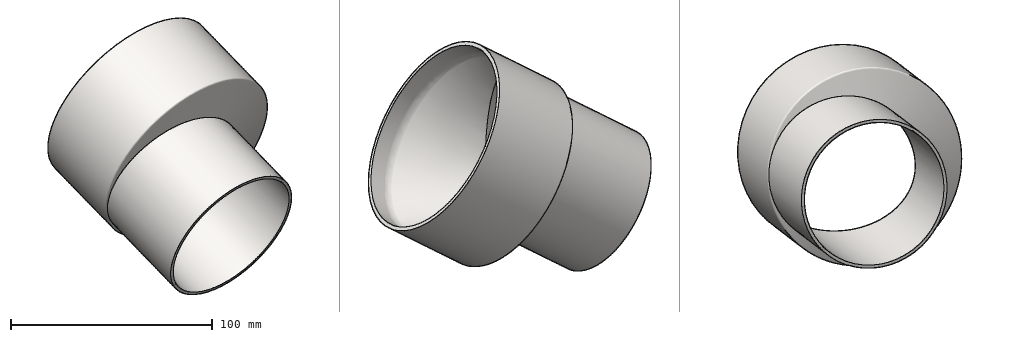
import cadquery as cq
import math

total_length = 98.5

large_diameter = 101.6
large_bore = 97.4
shoulder_start = 47.4
shoulder_angle = 75.0
shoulder_blend = 1.0

small_diameter = 76.2
small_bore = 72.9
small_offset = -(large_bore - small_bore) / 2

funnel_start = 11.0
funnel_angle = 30.0
funnel_blend = 7.1


def cylinder_with_cone(diameter, straight_length, cone_angle, blend):
    """Cylinder from X = 0, ended by a coaxial cone, with the edge between them rounded."""
    radius = diameter / 2
    tip = straight_length + radius / math.tan(math.radians(cone_angle))
    body = (
        cq.Workplane("XY")
        .polyline([(0, 0), (0, radius), (straight_length, radius), (tip, 0)])
        .close()
        .revolve(360, (0, 0, 0), (1, 0, 0))
    )
    return body.edges("%CIRCLE").edges(">X").fillet(blend)


def small_cylinder(diameter, start):
    """Cylinder on the axis of the small tube, from the given X to the far end."""
    return (
        cq.Workplane("YZ", origin=(start, small_offset, 0))
        .circle(diameter / 2)
        .extrude(total_length - start)
    )


large_tube = cylinder_with_cone(large_diameter, shoulder_start, shoulder_angle, shoulder_blend)
outside = large_tube.union(small_cylinder(small_diameter, shoulder_start / 2))

funnel = cylinder_with_cone(large_bore, funnel_start, funnel_angle, funnel_blend)
result = outside.cut(funnel).cut(small_cylinder(small_bore, 0))